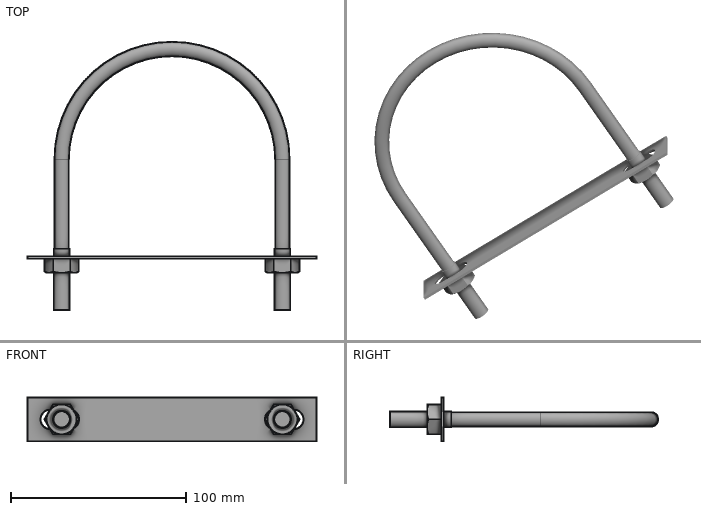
import cadquery as cq
import math

leg_spacing = 126.0
rod_diameter = 8.38
leg_length = 86.0
thread_diameter = 9.2
thread_length = 35.0

plate_length = 165.0
plate_height = 25.0
plate_thickness = 1.5
slot_width = 11.0
slot_outer_margin = 7.5
slot_inner_margin = 29.5

nut_across_flats = 17.0
nut_height = 8.0
nut_chamfer_angle = 30.0
nut_chamfer_diameter = nut_across_flats
nut_mouth_diameter = 10.0
thread_projection = 21.25

bend_radius = leg_spacing / 2
thread_end_y = -leg_length
thread_start_y = thread_end_y + thread_length
nut_outer_y = thread_end_y + thread_projection
plate_front_y = nut_outer_y + nut_height
plate_back_y = plate_front_y + plate_thickness
SIDES = (-1, 1)


def plane_facing_back(y):
    """Plane at the given Y, with local x along X, local y along -Z and its normal along +Y."""
    return cq.Plane(origin=(0, y, 0), xDir=(1, 0, 0), normal=(0, 1, 0))


def make_u_bolt():
    """Bent rod with a slightly thicker threaded length on each leg."""
    centreline = (
        cq.Workplane("XY")
        .moveTo(-bend_radius, thread_start_y)
        .lineTo(-bend_radius, 0)
        .threePointArc((0, bend_radius), (bend_radius, 0))
        .lineTo(bend_radius, thread_start_y)
    )
    rod = (
        cq.Workplane(plane_facing_back(thread_start_y))
        .center(-bend_radius, 0)
        .circle(rod_diameter / 2)
        .sweep(centreline)
    )
    threads = (
        cq.Workplane(plane_facing_back(thread_end_y))
        .pushPoints([(side * bend_radius, 0) for side in SIDES])
        .circle(thread_diameter / 2)
        .extrude(thread_length)
    )
    return rod.union(threads)


def make_plate():
    """Flat strip with a round-ended slot for each leg."""
    slot_length = slot_inner_margin - slot_outer_margin
    slot_offset = plate_length / 2 - (slot_outer_margin + slot_inner_margin) / 2
    face = cq.Workplane(plane_facing_back(plate_front_y))
    strip = face.rect(plate_length, plate_height).extrude(plate_thickness)
    slots = (
        face.pushPoints([(side * slot_offset, 0) for side in SIDES])
        .slot2D(slot_length, slot_width)
        .extrude(plate_thickness)
    )
    return strip.cut(slots)


def make_nut(x):
    """Hexagonal nut on one leg, chamfered on its outer face only."""
    across_corners = nut_across_flats / math.cos(math.pi / 6)
    corner_radius = across_corners / 2
    chamfer_radius = nut_chamfer_diameter / 2
    chamfer_depth = (corner_radius - chamfer_radius) * math.tan(math.radians(nut_chamfer_angle))
    mouth_radius = nut_mouth_diameter / 2
    bore_radius = thread_diameter / 2
    mouth_depth = mouth_radius - bore_radius
    hexagon = (
        cq.Workplane(plane_facing_back(nut_outer_y))
        .center(x, 0)
        .polygon(6, across_corners)
        .extrude(nut_height)
    )
    envelope = (
        cq.Workplane("XY", origin=(x, nut_outer_y, 0))
        .polyline([
            (mouth_radius, 0),
            (chamfer_radius, 0),
            (corner_radius, chamfer_depth),
            (corner_radius, nut_height),
            (bore_radius, nut_height),
            (bore_radius, mouth_depth),
        ])
        .close()
        .revolve(360, (0, 0), (0, 1))
    )
    return hexagon.intersect(envelope)


u_bolt = make_u_bolt()
plate = make_plate()
nuts = [make_nut(side * bend_radius) for side in SIDES]

result = cq.Compound.makeCompound([u_bolt.val(), plate.val(), *[nut.val() for nut in nuts]])